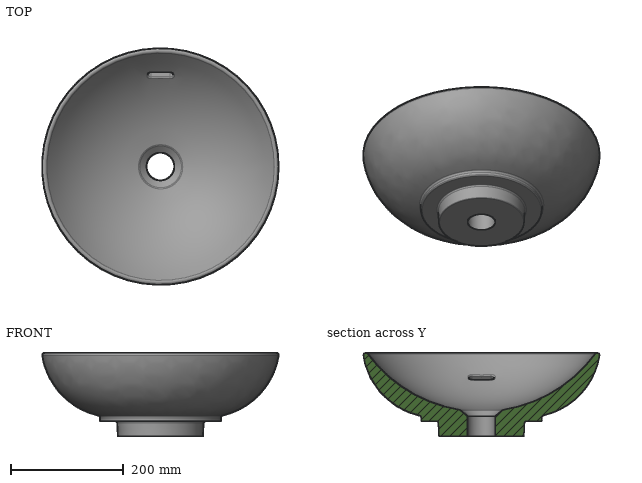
import math

import cadquery as cq

BASIN_DIAMETER = 419.8
BASIN_HEIGHT = 148.34

LIP_RADIUS = 4.7
INSIDE_RADIUS = 250.0

OUTSIDE_ARC_RADIUS = 131.0

RING_RADIUS = 107.5
RING_BOTTOM_Z = 26.5
RING_BOTTOM_ROUND = 2.0
NECK_HEIGHT = 3.5
NECK_FLARE = 2.7
NECK_TOP_Z = 36.8

PEDESTAL_BOTTOM_RADIUS = 75.6
PEDESTAL_TOP_RADIUS = 77.0
PEDESTAL_TOP_ROUND = 2.5
PEDESTAL_BOTTOM_ROUND = 1.0

DRAIN_DIAMETER = 48.76
DRAIN_SEAT_DIAMETER = 76.0
DRAIN_SEAT_DEPTH = 11.3
DRAIN_SEAT_ROUND = 4.5

OVERFLOW_Y = 162.5
OVERFLOW_LENGTH = 44.5
OVERFLOW_WIDTH = 10.5
OVERFLOW_DEPTH = 13.5
OVERFLOW_EDGE_ROUND = 2.5

EDGE_TOLERANCE = 0.01

LIP_CENTER_R = BASIN_DIAMETER / 2 - LIP_RADIUS
LIP_CENTER_Z = BASIN_HEIGHT - LIP_RADIUS
SPHERE_CENTER_Z = LIP_CENTER_Z + math.sqrt((INSIDE_RADIUS + LIP_RADIUS) ** 2 - LIP_CENTER_R**2)


def inside_z(radius):
    """Height of the spherical inside at a distance from the axis."""
    return SPHERE_CENTER_Z - math.sqrt(INSIDE_RADIUS**2 - radius**2)


def arc_midpoint(start, end, radius):
    """Middle of an arc that bulges to the right of the path from start to end."""
    run_r = end[0] - start[0]
    run_z = end[1] - start[1]
    chord = math.hypot(run_r, run_z)
    rise = radius - math.sqrt(radius**2 - (chord / 2) ** 2)
    middle_r = (start[0] + end[0]) / 2 + rise * run_z / chord
    middle_z = (start[1] + end[1]) / 2 - rise * run_r / chord
    return middle_r, middle_z


def make_basin():
    """Revolved body with its inside, lip, outside, foot ring, pedestal and drain."""
    drain_radius = DRAIN_DIAMETER / 2
    seat_radius = DRAIN_SEAT_DIAMETER / 2
    seat_z = inside_z(seat_radius)
    bowl_middle_r = LIP_CENTER_R / 2

    lip_inner_r = LIP_CENTER_R * INSIDE_RADIUS / (INSIDE_RADIUS + LIP_RADIUS)
    lip_inner = (lip_inner_r, inside_z(lip_inner_r))
    lip_top = (LIP_CENTER_R, BASIN_HEIGHT)
    lip_outer = (BASIN_DIAMETER / 2, LIP_CENTER_Z)

    neck_top = (RING_RADIUS + NECK_FLARE, NECK_TOP_Z)
    neck_bottom = (RING_RADIUS, NECK_TOP_Z - NECK_HEIGHT)
    outside_middle = arc_midpoint(neck_top, lip_outer, OUTSIDE_ARC_RADIUS)
    neck_radius = (NECK_HEIGHT**2 + NECK_FLARE**2) / (2 * NECK_FLARE)
    neck_middle = arc_midpoint(neck_top, neck_bottom, neck_radius)

    profile = (
        cq.Workplane("XZ")
        .moveTo(drain_radius, 0)
        .lineTo(drain_radius, seat_z - DRAIN_SEAT_DEPTH)
        .lineTo(seat_radius, seat_z)
        .threePointArc((bowl_middle_r, inside_z(bowl_middle_r)), lip_inner)
        .threePointArc(lip_top, lip_outer)
        .threePointArc(outside_middle, neck_top)
        .threePointArc(neck_middle, neck_bottom)
        .lineTo(RING_RADIUS, RING_BOTTOM_Z)
        .lineTo(PEDESTAL_TOP_RADIUS, RING_BOTTOM_Z)
        .lineTo(PEDESTAL_BOTTOM_RADIUS, 0)
        .close()
    )
    return profile.revolve(360, (0, 0), (0, 1))


def round_circle(body, radius, z, round_radius):
    """Round the circular edge about the axis that has the given radius and height."""
    circles = [
        edge
        for edge in body.edges("%CIRCLE").vals()
        if abs(edge.radius() - radius) < EDGE_TOLERANCE and abs(edge.Center().z - z) < EDGE_TOLERANCE
    ]
    return body.newObject(circles).fillet(round_radius)


def cut_overflow(body):
    """Cut the overflow slot along the normal of the inside wall and round its mouth."""
    mouth_z = inside_z(OVERFLOW_Y)
    into_wall = cq.Vector(0, OVERFLOW_Y, mouth_z - SPHERE_CENTER_Z).normalized()
    floor_center = cq.Vector(0, OVERFLOW_Y, mouth_z) + into_wall * OVERFLOW_DEPTH
    floor_plane = cq.Plane(origin=floor_center, xDir=(1, 0, 0), normal=-into_wall)
    slot = cq.Workplane(floor_plane).slot2D(OVERFLOW_LENGTH, OVERFLOW_WIDTH).extrude(2 * OVERFLOW_DEPTH)
    body = body.cut(slot)

    mouth_size = OVERFLOW_LENGTH + OVERFLOW_WIDTH
    mouth_zone = cq.Workplane(floor_plane).workplane(offset=OVERFLOW_DEPTH - OVERFLOW_EDGE_ROUND)
    zone = mouth_zone.rect(mouth_size, mouth_size).extrude(2 * OVERFLOW_EDGE_ROUND).val()
    mouth_edges = [edge for edge in body.edges().vals() if zone.isInside(edge.Center())]
    return body.newObject(mouth_edges).fillet(OVERFLOW_EDGE_ROUND)


drain_seat_radius = DRAIN_SEAT_DIAMETER / 2

result = make_basin()
result = round_circle(result, drain_seat_radius, inside_z(drain_seat_radius), DRAIN_SEAT_ROUND)
result = round_circle(result, RING_RADIUS, RING_BOTTOM_Z, RING_BOTTOM_ROUND)
result = round_circle(result, PEDESTAL_TOP_RADIUS, RING_BOTTOM_Z, PEDESTAL_TOP_ROUND)
result = round_circle(result, PEDESTAL_BOTTOM_RADIUS, 0, PEDESTAL_BOTTOM_ROUND)
result = cut_overflow(result)